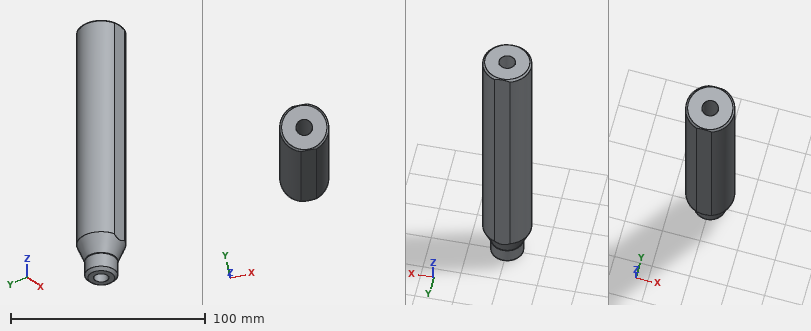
import cadquery as cq

length = 150.0
grip_radius = 12.68
across_flats = 24.0
grip_bore_radius = 4.2
top_chamfer = 1.0
taper_bottom = 10.0
taper_top = 20.1
collar_height = 0.5
neck_radius = 8.5
neck_bore_radius = 3.9
tip_chamfer = 1.6

neck_length = taper_bottom - collar_height


def make_neck():
    """Bored cylindrical end piece with a chamfered lower rim."""
    neck = cq.Workplane("XY").circle(neck_radius).extrude(neck_length)
    neck = neck.faces("<Z").chamfer(tip_chamfer)
    return neck.cut(make_bore(neck_bore_radius))


def make_grip():
    """Bored handle that tapers to the neck and has two flats facing -Y and +Y."""
    profile = [
        (0, neck_length),
        (neck_radius, neck_length),
        (neck_radius, taper_bottom),
        (grip_radius, taper_top),
        (grip_radius, length - top_chamfer),
        (grip_radius - top_chamfer, length),
        (0, length),
    ]
    grip = cq.Workplane("XZ").polyline(profile).close().revolve(360, (0, 0), (0, 1))
    flats = cq.Workplane("XY").rect(2 * grip_radius, across_flats).extrude(length)
    return grip.intersect(flats).cut(make_bore(grip_bore_radius))


def make_bore(radius):
    """Cylinder that runs the full length of the axis."""
    return cq.Workplane("XY").circle(radius).extrude(length)


neck = make_neck()
grip = make_grip()

result = cq.Compound.makeCompound([neck.val(), grip.val()])